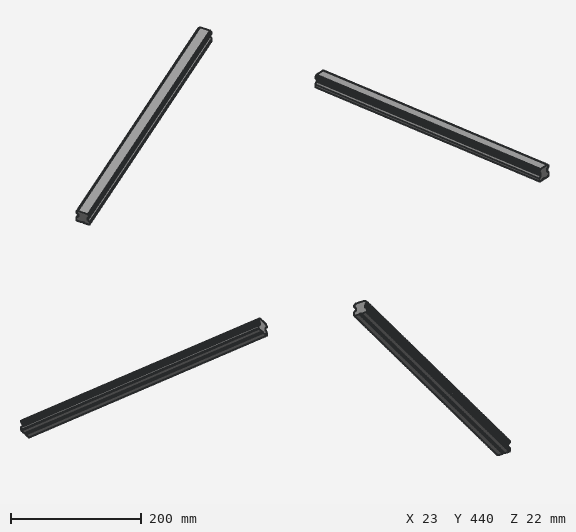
import cadquery as cq
import math

LENGTH = 440.0
WIDTH = 23.0
HEIGHT = 22.0

BASE_CHAMFER = 1.1
BASE_SIDE_TOP = 6.0
BASE_TOP_WIDTH = 16.5

SLOT_FLOOR_WIDTH = 15.5
SLOT_BOTTOM = 9.5
SLOT_TOP = 12.8

HEAD_BEVEL = 3.0
HEAD_SIDE_HEIGHT = 1.8
TRACK_LIP = 0.65
TRACK_DEPTH = 0.5

GROOVE_WIDTH = 3.0
GROOVE_DEPTH = 1.0

HALF_WIDTH = WIDTH / 2
HALF_NECK = HALF_WIDTH - HEAD_BEVEL
HEAD_SIDE_TOP = HEIGHT - HEAD_BEVEL
HEAD_SIDE_BOTTOM = HEAD_SIDE_TOP - HEAD_SIDE_HEIGHT


def bevel_points(side_level, direction):
    """Points of a head bevel from the vertical side inward; direction is +1 going up, -1 going down."""

    def point(run, inset=0.0):
        """Point at a horizontal run along the bevel, sunk square to it by the inset."""
        sink = inset * math.sqrt(0.5)
        return (HALF_WIDTH - run - sink, side_level + direction * (run - sink))

    return [
        point(0),
        point(TRACK_LIP),
        point(HEAD_BEVEL / 2, TRACK_DEPTH),
        point(HEAD_BEVEL - TRACK_LIP),
        point(HEAD_BEVEL),
    ]


def add_bevel(outline, points):
    """Draw a flat lip, the arc of the ball track and a second flat lip."""
    start, first_lip, track_floor, second_lip, end = points
    return outline.lineTo(*start).lineTo(*first_lip).threePointArc(track_floor, second_lip).lineTo(*end)


section = (
    cq.Workplane("XZ", origin=(0, LENGTH / 2, 0))
    .moveTo(0, GROOVE_DEPTH)
    .lineTo(GROOVE_WIDTH / 2, GROOVE_DEPTH)
    .lineTo(GROOVE_WIDTH / 2, 0)
    .lineTo(HALF_WIDTH - BASE_CHAMFER, 0)
    .lineTo(HALF_WIDTH, BASE_CHAMFER)
    .lineTo(HALF_WIDTH, BASE_SIDE_TOP)
    .lineTo(BASE_TOP_WIDTH / 2, SLOT_BOTTOM)
    .lineTo(SLOT_FLOOR_WIDTH / 2, SLOT_BOTTOM)
    .lineTo(SLOT_FLOOR_WIDTH / 2, SLOT_TOP)
    .lineTo(HALF_NECK, SLOT_TOP)
)
section = add_bevel(section, reversed(bevel_points(HEAD_SIDE_BOTTOM, -1)))
section = add_bevel(section, bevel_points(HEAD_SIDE_TOP, 1))
section = section.lineTo(0, HEIGHT)

result = section.mirrorY().extrude(LENGTH)